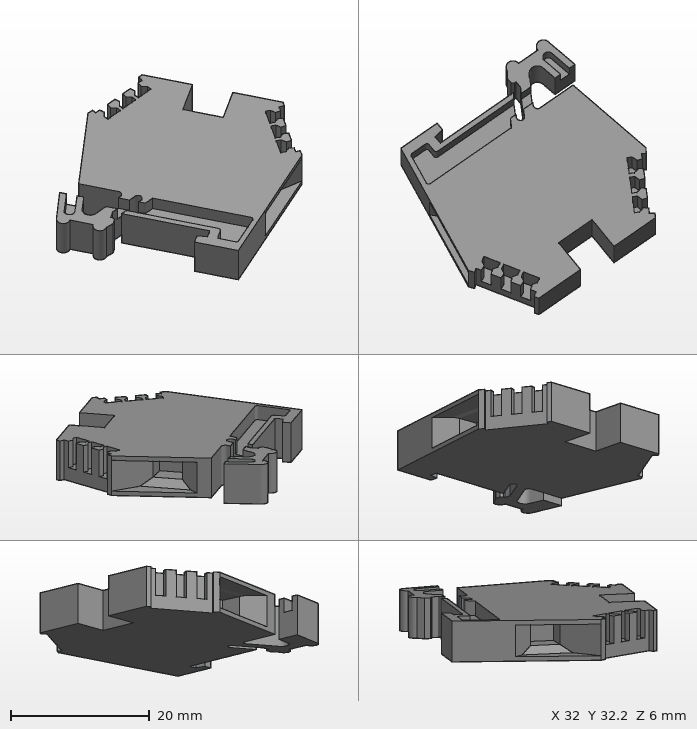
import cadquery as cq
import math

thickness = 6.0
height = 32.2
lean_degrees = 10
taper = math.tan(math.radians(lean_degrees))
flank_angle = math.radians(60)
leg_run = 1 / math.tan(flank_angle)
overlap = 1.6

half_width = 16.0
side_top = 22.6
shoulder_y = 8.45
hook_tip = (15.5, 23.38)
flank_bottom = (14.95, 23.0)
flank_top = (10.25, 31.1)
lip_tip = (10.88, 31.6)
top_half_width = 10.53
top_notch_width = 6.02
top_notch_depth = 5.25

foot_y = 1.45
foot_x = 5.73
foot_nose_y = 2.75
rail_half_width = 7.25
rail_nose_y = 3.0
rail_top = 4.22

arm_top = 6.02
arm_outer_x = -15.68
arm_inner_x = -12.08
lobe_radius = 1.0
lobe_outer_x = -13.75
lobe_inner_x = -8.28
clip_base_y = 1.0
catch_top = 3.1
catch_corner_x = -6.95
catch_x = -6.57
catch_nose_top = 2.83
catch_nose_bottom = 1.9
leg_top_x = -6.5
leg_root_radius = 0.6
cup_radius = 1.2
spring_slot_radius = 0.58
spring_slot_x = -4.48
arm_groove_radius = 0.77
arm_groove_end = (-13.3, 2.77)

recess_floor = 3.85
recess_bottom = 5.02
recess_step_y = 7.18
recess_step_x = -2.45
recess_right_x = 12.7
recess_foot_x = 8.7
recess_foot_y = 3.05
recess_radius = 0.4
recess_step_radius = 0.32

notch_count = 3
notch_pitch = 3.1
notch_floor = 2.0
notch_profile = [(-0.15, 0.8), (0.8, 0.65), (1.42, 1.25), (2.15, 1.25)]

funnel_low_y = 10.45
funnel_inner_x = 11.17
funnel_inner_low_y = 13.33
funnel_inner_top_y = 17.68
funnel_wall = 0.68
funnel_floor_break_x = 12.7
funnel_floor_inner_z = 1.7
funnel_roof_break_x = 11.8
funnel_roof_inner_z = 5.12
wire_hole_depth = 3.22
wire_hole_draft = 0.15


def side_x(y):
    """Half width of the tapered side wall at height y."""
    return half_width - (side_top - y) * taper


def mirrored(points):
    return [(-x, y) for x, y in points]


def prism(points, low=0.0, high=thickness):
    return cq.Workplane("XY").workplane(offset=low).polyline(points).close().extrude(high - low)


def cylinder(x, y, radius):
    return cq.Workplane("XY").center(x, y).circle(radius).extrude(thickness)


def round_corner(solid, point, radius):
    """Fillet the upright edge of a full-height prism that stands at the given point."""
    middle = (point[0], point[1], thickness / 2)
    return solid.edges(cq.selectors.NearestToPointSelector(middle)).fillet(radius)


def make_blank():
    upper_right = [(half_width, side_top), hook_tip, flank_bottom, flank_top, lip_tip,
                   (top_half_width, height)]
    foot = [(-rail_half_width, rail_top), (rail_half_width, rail_top), (rail_half_width, rail_nose_y),
            (foot_x, foot_nose_y), (foot_x, foot_y), (side_x(foot_y), foot_y)]
    lobe_tangent = math.radians(lean_degrees)
    clip = [
        (-side_x(shoulder_y), shoulder_y),
        (arm_outer_x, arm_top),
        (lobe_outer_x - lobe_radius * math.cos(lobe_tangent),
         lobe_radius - lobe_radius * math.sin(lobe_tangent)),
        (lobe_outer_x, clip_base_y),
        (lobe_inner_x, clip_base_y),
        (lobe_inner_x + lobe_radius, lobe_radius),
        (catch_x, catch_nose_bottom),
        (catch_x, catch_nose_top),
        (catch_corner_x, catch_top),
        (-rail_half_width, catch_top),
    ]
    blank = prism(foot + upper_right + mirrored(upper_right)[::-1] + clip)
    for lobe_x in (lobe_outer_x, lobe_inner_x):
        blank = blank.union(cylinder(lobe_x, lobe_radius, lobe_radius))
    return blank


def make_top_notch():
    return cq.Workplane("XY").box(top_notch_width, 2 * top_notch_depth, thickness,
                                  centered=(True, True, False)).translate((0, height, 0))


def make_clip_gap():
    """Opening between body, clip leg and clip arm, with a round root and a round cup."""
    root = (leg_top_x, shoulder_y)
    mouth = leg_top_x - (shoulder_y - arm_top) * leg_run - arm_inner_x
    drop = mouth / (leg_run + taper)
    cup = (arm_inner_x + drop * taper, arm_top - drop)
    outside_x = -half_width - overlap
    gap = prism([(outside_x, shoulder_y), root, cup, (arm_inner_x, arm_top), (outside_x, arm_top)])
    gap = round_corner(gap, root, leg_root_radius)
    return round_corner(gap, cup, cup_radius)


def make_spring_slot():
    """Slanted slot with a round upper end that frees the leg from the body."""
    center_y = shoulder_y - spring_slot_radius
    across = (spring_slot_radius * math.sin(flank_angle), -spring_slot_radius * math.cos(flank_angle))
    right = (spring_slot_x + across[0], center_y + across[1])
    left = (spring_slot_x - across[0], center_y - across[1])
    right_end = (right[0] - (right[1] - rail_top) * leg_run, rail_top)
    left_end = (left[0] - (left[1] - rail_top) * leg_run, rail_top)
    slot = prism([right, left, left_end, right_end])
    return slot.union(cylinder(spring_slot_x, center_y, spring_slot_radius))


def make_arm_groove():
    """Blind groove along the clip arm, open at the end of the arm."""
    end_x, end_y = arm_groove_end
    length = arm_top - end_y + overlap
    straight = cq.Workplane("XY").box(2 * arm_groove_radius, length, thickness,
                                      centered=(True, False, False))
    groove = straight.union(cylinder(0, 0, arm_groove_radius))
    return groove.rotate((0, 0, 0), (0, 0, 1), lean_degrees).translate((end_x, end_y, recess_floor))


def make_recess():
    """Recess above the rail, carried on across the slot and the clip leg."""
    step = (recess_step_x - (shoulder_y - recess_step_y) * leg_run, recess_step_y)
    upper_right = (recess_right_x, shoulder_y)
    lower_right = (recess_right_x - (shoulder_y - recess_foot_y) * taper, recess_foot_y)
    lower_left = (recess_foot_x, recess_foot_y)
    inner = (recess_foot_x, recess_bottom)
    start_x = leg_top_x - (shoulder_y - recess_bottom) * leg_run - overlap
    recess = prism([(start_x, recess_bottom), inner, lower_left, lower_right, upper_right,
                    (recess_step_x, shoulder_y), step, (start_x, recess_step_y)])
    for corner in (inner, lower_left, lower_right, upper_right):
        recess = round_corner(recess, corner, recess_radius)
    recess = round_corner(recess, step, recess_step_radius)
    return recess.translate((0, 0, recess_floor))


def make_notches():
    """Marker notches of the right flank, evenly spaced about its middle."""
    along = (math.cos(flank_angle), -math.sin(flank_angle))
    inward = (-math.sin(flank_angle), -math.cos(flank_angle))
    middle = [(a + b) / 2 for a, b in zip(flank_bottom, flank_top)]
    outline = notch_profile + [(depth, -half) for depth, half in reversed(notch_profile)]
    notches = cq.Workplane("XY")
    for index in range(notch_count):
        offset = (index - (notch_count - 1) / 2) * notch_pitch
        points = [(middle[0] + along[0] * (offset + s) + inward[0] * n,
                   middle[1] + along[1] * (offset + s) + inward[1] * n) for n, s in outline]
        notches = notches.add(prism(points, notch_floor))
    return notches.combine()


def make_funnel():
    """Right-hand funnel: slanted end walls in plan, ramped floor and roof, then a blind hole."""
    low_x = side_x(funnel_low_y)
    hole_end_x = funnel_inner_x - wire_hole_depth
    plan = prism([
        (half_width, side_top),
        (funnel_inner_x, funnel_inner_top_y),
        (hole_end_x, funnel_inner_top_y - wire_hole_draft),
        (hole_end_x, funnel_inner_low_y + wire_hole_draft),
        (funnel_inner_x, funnel_inner_low_y),
        (low_x, funnel_low_y),
        (half_width, funnel_low_y),
    ])
    roof_z = thickness - funnel_wall
    section = cq.Workplane("XZ").polyline([
        (half_width, funnel_wall),
        (funnel_floor_break_x, funnel_wall),
        (funnel_inner_x, funnel_floor_inner_z),
        (hole_end_x, funnel_floor_inner_z),
        (hole_end_x, funnel_roof_inner_z),
        (funnel_inner_x, funnel_roof_inner_z),
        (funnel_roof_break_x, roof_z),
        (half_width, roof_z),
    ]).close().extrude(-height)
    return plan.intersect(section)


result = make_blank()
for cutter in (make_top_notch(), make_clip_gap(), make_spring_slot(), make_arm_groove(), make_recess()):
    result = result.cut(cutter)
for cutter in (make_notches(), make_funnel()):
    result = result.cut(cutter).cut(cutter.mirror("YZ"))